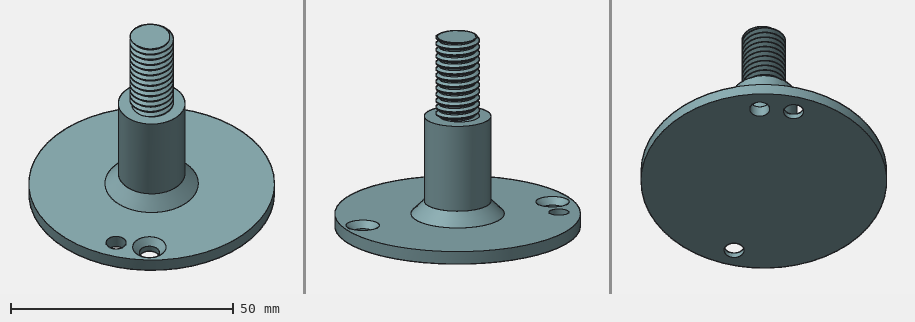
import cadquery as cq
import math

flange_diameter = 55.3
flange_thickness = 3.0

column_diameter = 15.05
column_top = 26.05
foot_height = 3.0

total_height = 45.0
major_diameter = 9.85
minor_diameter = 8.15
pitch = 1.5
crest_width = pitch / 8
flank_angle = 30.0
root_overlap = 0.1

hole_diameter = 4.5
countersink_diameter = 7.5
countersink_angle = 90.0
screw_x = 13.0
screw_y = 18.95
plain_hole_position = (6.0, -22.0)


def make_base():
    """Flange, conical foot and column as one turned profile."""
    flange_radius = flange_diameter / 2
    column_radius = column_diameter / 2
    foot_top = flange_thickness + foot_height
    return (
        cq.Workplane("XZ")
        .lineTo(flange_radius, 0)
        .lineTo(flange_radius, flange_thickness)
        .lineTo(column_radius + foot_height, flange_thickness)
        .lineTo(column_radius, foot_top)
        .lineTo(column_radius, column_top)
        .lineTo(0, column_top)
        .close()
        .revolve(360, (0, 0, 0), (0, 1, 0))
    )


def make_stud():
    """Core with a right-handed ridge, both made overlong and trimmed flat at the stud ends."""
    stud_length = total_height - column_top
    turns = math.ceil(stud_length / pitch) + 2
    start_z = total_height + (1.5 - turns) * pitch

    crest_radius = major_diameter / 2
    root_radius = minor_diameter / 2 - root_overlap
    half_crest = crest_width / 2
    half_root = half_crest + (crest_radius - root_radius) * math.tan(math.radians(flank_angle))

    path = cq.Wire.makeHelix(pitch, turns * pitch, minor_diameter / 2, center=cq.Vector(0, 0, start_z))
    ridge = (
        cq.Workplane("XZ")
        .moveTo(root_radius, start_z - half_root)
        .lineTo(crest_radius, start_z - half_crest)
        .lineTo(crest_radius, start_z + half_crest)
        .lineTo(root_radius, start_z + half_root)
        .close()
        .sweep(cq.Workplane(path), isFrenet=True)
    )
    core_length = (turns + 2) * pitch
    core = cq.Workplane("XY", origin=(0, 0, start_z - pitch)).circle(minor_diameter / 2).extrude(core_length)
    envelope = cq.Workplane("XY", origin=(0, 0, column_top)).circle(major_diameter).extrude(stud_length)
    return core.union(ridge).intersect(envelope)


def drill_flange(body):
    """Two opposite countersunk screw holes and one plain hole."""
    flange_top = cq.Workplane("XY", origin=(0, 0, flange_thickness))
    plain_hole = flange_top.center(*plain_hole_position).circle(hole_diameter / 2).extrude(-flange_thickness)
    body = body.cut(plain_hole)

    sink_depth = (countersink_diameter - hole_diameter) / 2 / math.tan(math.radians(countersink_angle / 2))
    screw_hole = (
        cq.Workplane("XZ")
        .lineTo(hole_diameter / 2, 0)
        .lineTo(hole_diameter / 2, flange_thickness - sink_depth)
        .lineTo(countersink_diameter / 2, flange_thickness)
        .lineTo(0, flange_thickness)
        .close()
        .revolve(360, (0, 0, 0), (0, 1, 0))
    )
    for side in (-1, 1):
        body = body.cut(screw_hole.translate((side * screw_x, -side * screw_y, 0)))
    return body


result = drill_flange(make_base()).union(make_stud())